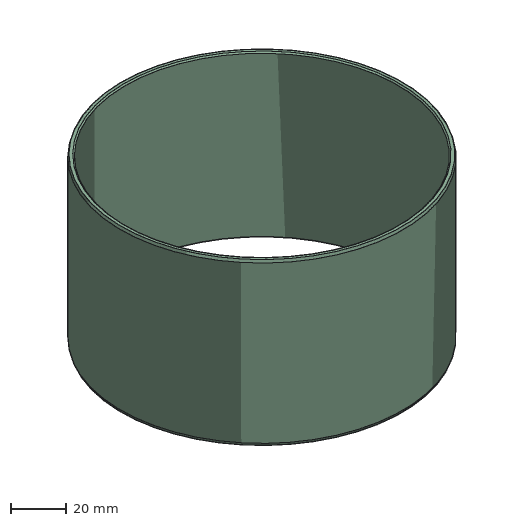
import cadquery as cq
import math

outer_diameter = 140.0
wall_thickness = 2.4
height = 80.0
lead_in_height = 1.2
lead_in_angle = 20.0
inner_chamfer = 0.6

outer_radius = outer_diameter / 2
inner_radius = outer_radius - wall_thickness
lead_in_width = lead_in_height * math.tan(math.radians(lead_in_angle))


def make_sleeve():
    """Thin-walled tube: both rims have a steep outer lead-in and a 45 degree inner chamfer."""
    rim_outer_radius = outer_radius - lead_in_width
    rim_inner_radius = inner_radius + inner_chamfer
    wall_section = [
        (rim_inner_radius, 0),
        (rim_outer_radius, 0),
        (outer_radius, lead_in_height),
        (outer_radius, height - lead_in_height),
        (rim_outer_radius, height),
        (rim_inner_radius, height),
        (inner_radius, height - inner_chamfer),
        (inner_radius, inner_chamfer),
    ]
    section_face = cq.Workplane("XZ").polyline(wall_section).close()
    return section_face.revolve(360, (0, 0), (0, 1))


result = make_sleeve()